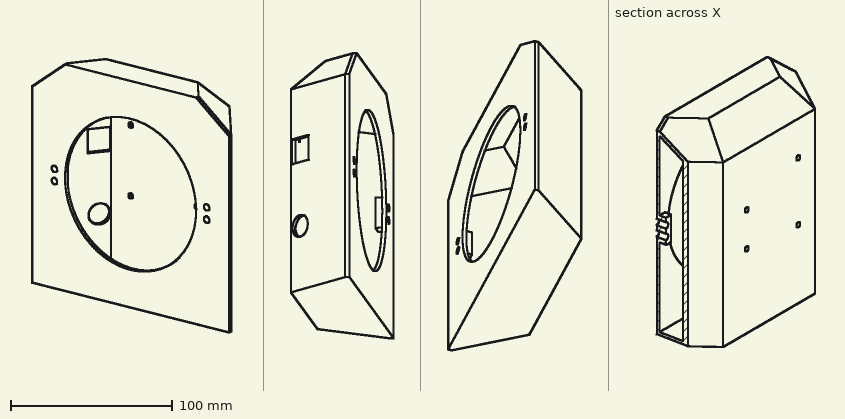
import cadquery as cq
import math

size = 150.0
half = size / 2
depth = 42.5
plate_thickness = 2.5
wall = 2.5
back_half_width = 45.0
bevel = 20.0

box_depth = depth - plate_thickness
side_run = half - back_half_width
side_length = math.hypot(side_run, box_depth)
slant_sin = side_run / side_length
slant_cos = box_depth / side_length
corner_width = bevel / slant_cos

window_diameter = 100.0
pin_hole_diameter = 4.2
pin_hole_x = 58.0
pin_hole_z = 4.0
pin_block_width = 10.0
pin_block_height = 19.4
pin_block_depth = 5.0
screw_hole_diameter = 3.5
screw_hole_points = [(-28.6, 27.3), (-28.6, -19.6), (21.8, 11.8), (21.8, -15.6)]
cable_hole_diameter = 14.0
cable_hole_z = -34.0
cable_hole_setback = 6.9
socket_width = 15.0
socket_height = 15.9
socket_z = 14.8
socket_setback = 6.9


def bevelled_box(offset):
    """Tapered box moved inwards by offset on every face but the front one."""
    front_half = half - offset / slant_cos
    box_back = depth - offset
    back_half = front_half - (box_back - plate_thickness) * slant_sin / slant_cos
    inner_bevel = bevel - offset * (2 - math.sqrt(2))
    return (
        cq.Workplane("XY")
        .workplane(offset=offset - half)
        .polyline([
            (-front_half, plate_thickness),
            (front_half, plate_thickness),
            (back_half, box_back),
            (-back_half, box_back),
        ])
        .close()
        .extrude(size - 2 * offset)
        .faces(">Z")
        .edges("not <Y")
        .chamfer(inner_bevel)
    )


def front_plate():
    """Flat plate with its two upper corners cut off."""
    return (
        cq.Workplane("XZ")
        .polyline([
            (-half, -half),
            (half, -half),
            (half, half - bevel),
            (half - corner_width, half),
            (corner_width - half, half),
            (-half, half - bevel),
        ])
        .close()
        .extrude(-plate_thickness)
    )


def side_wall_plane(setback, z):
    """Plane on the -X slanted wall, facing outwards, local Y pointing up."""
    x = -back_half_width - setback * slant_sin / slant_cos
    return cq.Plane(
        origin=(x, depth - setback, z),
        xDir=(-slant_sin, -slant_cos, 0),
        normal=(-slant_cos, slant_sin, 0),
    )


def wall_cutter(profile):
    """Cutter through one wall, reaching 1.5 wall thicknesses in and out of its outer face."""
    return profile.extrude(1.5 * wall, both=True)


def pin_block(x):
    """Block behind the plate that thickens it around one pair of pin holes."""
    return (
        cq.Workplane("XZ", origin=(x, plate_thickness, 0))
        .rect(pin_block_width, pin_block_height)
        .extrude(-pin_block_depth)
    )


result = bevelled_box(0).cut(bevelled_box(wall)).union(front_plate())
for side in (-1, 1):
    result = result.union(pin_block(side * pin_hole_x))

pin_hole_points = [(x, z) for x in (-pin_hole_x, pin_hole_x) for z in (-pin_hole_z, pin_hole_z)]
front = cq.Workplane("XZ")
result = result.cut(front.circle(window_diameter / 2).extrude(-plate_thickness))
pin_holes = front.pushPoints(pin_hole_points).circle(pin_hole_diameter / 2)
result = result.cut(pin_holes.extrude(-plate_thickness - pin_block_depth))

back_inside = cq.Workplane("XZ", origin=(0, depth - wall, 0))
screw_holes = back_inside.pushPoints(screw_hole_points).circle(screw_hole_diameter / 2)
result = result.cut(screw_holes.extrude(-wall))

cable_plane = cq.Workplane(side_wall_plane(cable_hole_setback, cable_hole_z))
result = result.cut(wall_cutter(cable_plane.circle(cable_hole_diameter / 2)))
socket_plane = cq.Workplane(side_wall_plane(socket_setback, socket_z))
result = result.cut(wall_cutter(socket_plane.rect(socket_width, socket_height)))